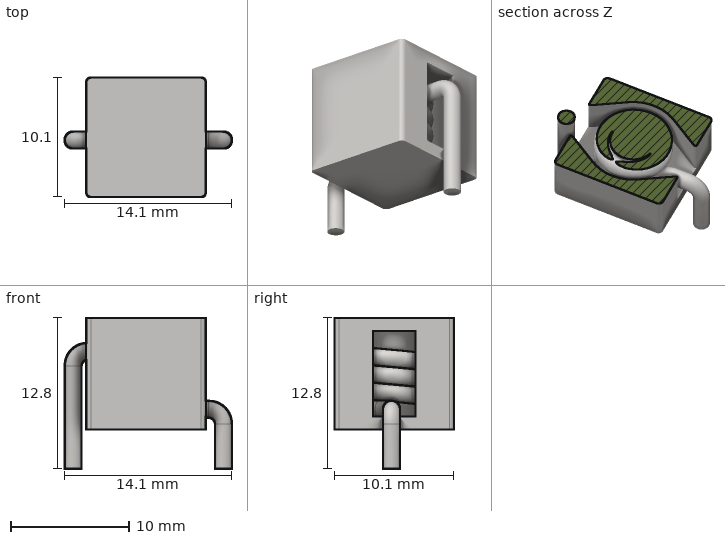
import cadquery as cq
import math

body_width = 10.1
body_height = 9.45
corner_radius = 0.4

floor_thickness = 1.1
side_wall = 1.0
chamber_radius = body_width / 2 - side_wall
window_width = 3.55
window_lip = 0.2

post_diameter = 3.95

wire_diameter = 1.45
wire_seat = 0.1
coil_radius = post_diameter / 2 + wire_diameter / 2 - wire_seat
full_turns = 3
elbow_radius = 1.25
entry_radius = 2.0

lead_pitch = 12.69
lead_shift = 0.19
lead_y = -0.235
upper_lead_z = 6.62
lower_lead_z = 1.725
foot_z = -3.3

half_width = body_width / 2
chamber_height = body_height - 2 * floor_thickness

entry_angle = math.asin((entry_radius - lead_y) / (entry_radius + coil_radius))
entry_bend_x = (entry_radius + coil_radius) * math.cos(entry_angle)


def make_housing():
    return (
        cq.Workplane("XY")
        .rect(body_width, body_width)
        .extrude(body_height)
        .edges("|Z")
        .fillet(corner_radius)
    )


def make_chamber():
    """Cylinder with a straight-sided window on each side, blended by tangent flares."""
    half_window = window_width / 2
    lip_x = half_width - window_lip
    lip_angle = math.atan2(half_window, lip_x)
    tangent_angle = lip_angle + math.acos(chamber_radius / math.hypot(lip_x, half_window))
    tangent_x = chamber_radius * math.cos(tangent_angle)
    tangent_y = chamber_radius * math.sin(tangent_angle)
    return (
        cq.Workplane("XY", origin=(0, 0, floor_thickness))
        .moveTo(-half_width, -half_window)
        .lineTo(-lip_x, -half_window)
        .lineTo(-tangent_x, -tangent_y)
        .threePointArc((0, -chamber_radius), (tangent_x, -tangent_y))
        .lineTo(lip_x, -half_window)
        .lineTo(half_width, -half_window)
        .lineTo(half_width, half_window)
        .lineTo(lip_x, half_window)
        .lineTo(tangent_x, tangent_y)
        .threePointArc((0, chamber_radius), (-tangent_x, tangent_y))
        .lineTo(-lip_x, half_window)
        .lineTo(-half_width, half_window)
        .close()
        .extrude(chamber_height)
    )


def make_post():
    return (
        cq.Workplane("XY", origin=(0, 0, floor_thickness))
        .circle(post_diameter / 2)
        .extrude(chamber_height)
    )


def make_coil():
    """Left-handed coil climbing from the lower lead on +X to the upper lead on -X."""
    part_turn = (math.pi - 2 * entry_angle) / (2 * math.pi)
    rise = upper_lead_z - lower_lead_z
    pitch = rise / (full_turns + part_turn)
    helix = cq.Wire.makeHelix(pitch, rise, coil_radius, lefthand=True)
    coil = (
        cq.Workplane("XZ")
        .transformed(offset=(coil_radius, 0), rotate=(0, 0, 180))
        .circle(wire_diameter / 2)
        .sweep(cq.Workplane(obj=helix), isFrenet=True)
    )
    return coil.rotate((0, 0, 0), (0, 0, 1), -math.degrees(entry_angle)).translate((0, 0, lower_lead_z))


def make_lead(side, foot_x, lead_z):
    """Lead rising from its foot, bending level and curving into the coil (side: -1 or +1 in X)."""
    elbow_low = cq.Vector(foot_x, lead_y, lead_z - elbow_radius)
    elbow_high = cq.Vector(foot_x - side * elbow_radius, lead_y, lead_z)
    entry_start = cq.Vector(side * entry_bend_x, lead_y, lead_z)
    entry_end = cq.Vector(
        side * coil_radius * math.cos(entry_angle),
        -coil_radius * math.sin(entry_angle),
        lead_z,
    )
    up = cq.Vector(0, 0, 1)
    inward = cq.Vector(-side, 0, 0)
    path = cq.Wire.assembleEdges(
        [
            cq.Edge.makeLine(cq.Vector(foot_x, lead_y, foot_z), elbow_low),
            cq.Edge.makeTangentArc(elbow_low, up, elbow_high),
            cq.Edge.makeLine(elbow_high, entry_start),
            cq.Edge.makeTangentArc(entry_start, inward, entry_end),
        ]
    )
    return (
        cq.Workplane("XY", origin=(foot_x, lead_y, foot_z))
        .circle(wire_diameter / 2)
        .sweep(cq.Workplane(obj=path))
    )


upper_lead = make_lead(-1, lead_shift - lead_pitch / 2, upper_lead_z)
lower_lead = make_lead(1, lead_shift + lead_pitch / 2, lower_lead_z)
winding = make_coil().union(upper_lead).union(lower_lead)

result = make_housing().cut(make_chamber()).union(make_post()).union(winding)